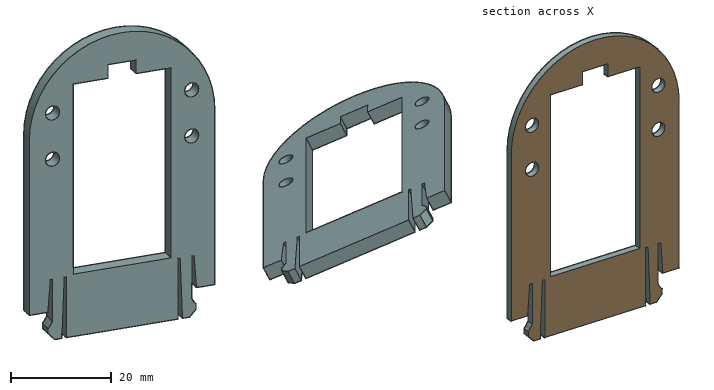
import cadquery as cq

height = 64.1
width = 40.0
thickness = 3.0
top_radius = width / 2
arch_center_z = height - top_radius

window_width = 21.1
window_bottom = 13.5
window_top = 54.7
notch_width = 6.0
notch_top = 57.6

hole_diameter = 3.0
hole_spacing_y = 30.0
lower_hole_z = 39.15
hole_pitch_z = 10.0

leg_bottom = 6.15
slot_top = 13.15
tongue_half_width = 12.05
clip_inner_top = 12.5
clip_inner_bottom = 13.0
clip_outer = 15.0
leg_inner_top = 15.5
leg_inner_bottom = 16.0

barb_tip = 15.95
barb_shoulder = 15.6
barb_start_z = 4.05
barb_shoulder_z = 3.1
barb_tip_top = 2.6
barb_tip_bottom = 1.55
barb_toe = 14.55


def plate():
    return (
        cq.Workplane("YZ")
        .moveTo(-top_radius, 0)
        .lineTo(-top_radius, arch_center_z)
        .threePointArc((0, height), (top_radius, arch_center_z))
        .lineTo(top_radius, 0)
        .close()
        .extrude(thickness)
    )


def rectangular_cut(opening_width, bottom, top):
    return (
        cq.Workplane("YZ")
        .center(0, (bottom + top) / 2)
        .rect(opening_width, top - bottom)
        .extrude(thickness)
    )


def hole_cuts():
    centers = [
        (side * hole_spacing_y / 2, lower_hole_z + row * hole_pitch_z)
        for side in (-1, 1)
        for row in (0, 1)
    ]
    return cq.Workplane("YZ").pushPoints(centers).circle(hole_diameter / 2).extrude(thickness)


def mirrored_cut(outline, side):
    """Cut an outline given for positive Y, on the chosen side (1 or -1)."""
    points = [(side * y, z) for y, z in outline]
    return cq.Workplane("YZ").polyline(points).close().extrude(thickness)


inner_slot = [
    (tongue_half_width, 0),
    (tongue_half_width, slot_top),
    (clip_inner_top, slot_top),
    (clip_inner_bottom, 0),
]

outer_relief = [
    (barb_toe, 0),
    (barb_tip, barb_tip_bottom),
    (barb_tip, barb_tip_top),
    (barb_shoulder, barb_shoulder_z),
    (clip_outer, barb_start_z),
    (clip_outer, slot_top),
    (leg_inner_top, slot_top),
    (leg_inner_bottom, leg_bottom),
    (top_radius, leg_bottom),
    (top_radius, 0),
]

result = plate()
result = result.cut(rectangular_cut(window_width, window_bottom, window_top))
result = result.cut(rectangular_cut(notch_width, window_top, notch_top))
result = result.cut(hole_cuts())
for side in (-1, 1):
    result = result.cut(mirrored_cut(inner_slot, side))
    result = result.cut(mirrored_cut(outer_relief, side))
result = result.translate((-thickness / 2, 0, 0))